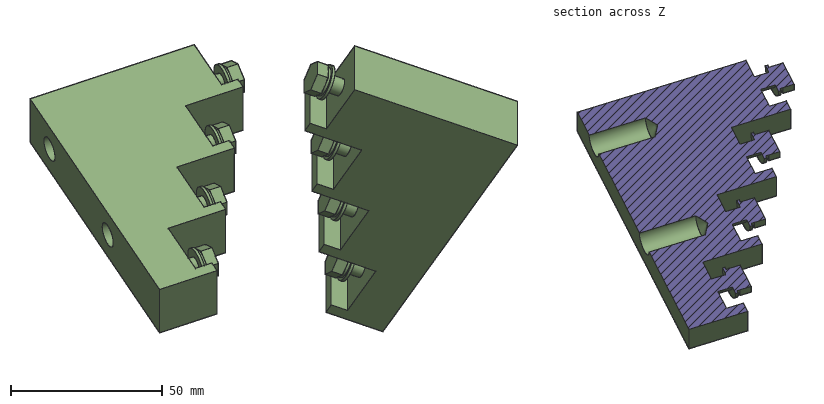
import cadquery as cq
import math

step_count = 4
step_length = 25.0
step_rise = 15.0
block_height = 20.0
block_length = step_count * step_length
lip_width = 4.0
lip_height = 6.0
mid_height = block_height / 2

shank_diameter = 6.0
shank_exposed_length = 5.0
flat_washer_diameter = 12.0
flat_washer_thickness = 1.0
spring_washer_diameter = 10.0
spring_washer_thickness = 1.0
head_across_flats = 10.0
head_across_corners = head_across_flats / math.cos(math.radians(30))
head_thickness = 4.0
bolt_offset = (step_length - lip_width) / 2

hole_diameter = 8.5
hole_depth = 20.0
hole_tip_angle = 118.0
hole_positions = (15.0, 60.0)


def ledge_level(step):
    """Y position of a ledge; step 0 is the tallest, at the -X end."""
    return (step_count - step) * step_rise


def make_block():
    outline = [(0, 0)]
    for step in range(step_count):
        ledge = ledge_level(step)
        step_start = step * step_length
        step_end = step_start + step_length
        outline += [
            (step_start, ledge),
            (step_end - lip_width, ledge),
            (step_end - lip_width, ledge + lip_height),
            (step_end, ledge + lip_height),
        ]
    outline.append((block_length, 0))
    return cq.Workplane("XY").polyline(outline).close().extrude(block_height)


def make_bolt():
    """Bolt along +Z with the exposed shank starting at the origin."""
    return (
        cq.Workplane("XY")
        .circle(shank_diameter / 2)
        .extrude(shank_exposed_length)
        .faces(">Z")
        .workplane()
        .circle(flat_washer_diameter / 2)
        .extrude(flat_washer_thickness)
        .faces(">Z")
        .workplane()
        .circle(spring_washer_diameter / 2)
        .extrude(spring_washer_thickness)
        .faces(">Z")
        .workplane()
        .transformed(rotate=(0, 0, 90))
        .polygon(6, head_across_corners)
        .extrude(head_thickness)
    )


def make_hole(x):
    """Drill shape entering the block from the -Y face."""
    radius = hole_diameter / 2
    tip_length = radius / math.tan(math.radians(hole_tip_angle / 2))
    half_profile = [
        (x, 0),
        (x + radius, 0),
        (x + radius, hole_depth),
        (x, hole_depth + tip_length),
    ]
    return (
        cq.Workplane("XY", origin=(0, 0, mid_height))
        .polyline(half_profile)
        .close()
        .revolve(360, (x, 0), (x, 1))
    )


result = make_block()

bolt_along_y = make_bolt().rotate((0, 0, 0), (1, 0, 0), -90)
for step in range(step_count):
    bolt_x = step * step_length + bolt_offset
    result = result.union(bolt_along_y.translate((bolt_x, ledge_level(step), mid_height)))

for hole_x in hole_positions:
    result = result.cut(make_hole(hole_x))